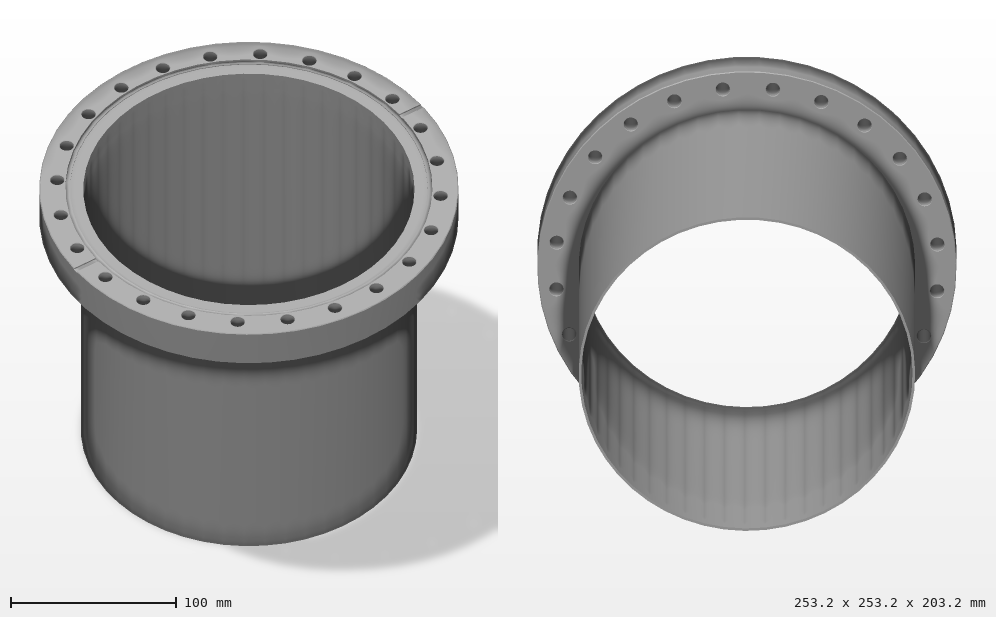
import cadquery as cq
import math

total_height = 203.2

tube_outer_radius = 203.2 / 2
tube_inner_radius = 200.0 / 2

flange_radius = 253.2 / 2
flange_thickness = 25.0
flange_edge_chamfer = 0.5
flange_bottom = total_height - flange_thickness

lip_height = 12.7
tube_length = total_height - lip_height

recess_radius = 110.8
recess_depth = 1.9
knife_radius = 108.0
knife_tip_depth = 0.9
sealing_face_depth = 1.4

bolt_count = 24
bolt_circle_radius = 231.8 / 2
bolt_hole_diameter = 8.4
bolt_hole_chamfer = 0.3

groove_width = 3.2
groove_depth = knife_tip_depth
bolt_pitch_angle = 360 / bolt_count
groove_angles = [90 + bolt_pitch_angle / 2, 270 + bolt_pitch_angle / 2]


def polar_point(radius, angle):
    """Point at a radius and an angle in degrees around the Z axis."""
    return radius * math.cos(math.radians(angle)), radius * math.sin(math.radians(angle)), 0


def make_tube():
    """Plain tube standing on the XY plane."""
    return cq.Workplane("XY").circle(tube_outer_radius).circle(tube_inner_radius).extrude(tube_length)


def make_recess():
    """Cutter for the gasket recess, leaving a knife edge around the sunken sealing face."""
    sealing_face = total_height - sealing_face_depth
    return (
        cq.Workplane("XZ")
        .moveTo(0, sealing_face)
        .lineTo(knife_radius, sealing_face)
        .lineTo(knife_radius, total_height - knife_tip_depth)
        .lineTo(recess_radius, total_height - recess_depth)
        .lineTo(recess_radius, total_height)
        .lineTo(0, total_height)
        .close()
        .revolve(360, (0, 0, 0), (0, 1, 0))
    )


def make_groove(angle):
    """Cutter for one radial slot running from the knife tip out through the flange edge."""
    slot_length = flange_radius - knife_radius
    return (
        cq.Workplane("XY")
        .workplane(offset=total_height - groove_depth)
        .center(knife_radius + slot_length / 2, 0)
        .rect(slot_length, groove_width)
        .extrude(groove_depth)
        .rotate((0, 0, 0), (0, 0, 1), angle)
    )


def make_bolt_hole(angle):
    """Cutter for one through bolt hole, chamfered at both flange faces."""
    hole_radius = bolt_hole_diameter / 2
    mouth_radius = hole_radius + bolt_hole_chamfer
    return (
        cq.Workplane("XZ")
        .moveTo(0, flange_bottom)
        .lineTo(mouth_radius, flange_bottom)
        .lineTo(hole_radius, flange_bottom + bolt_hole_chamfer)
        .lineTo(hole_radius, total_height - bolt_hole_chamfer)
        .lineTo(mouth_radius, total_height)
        .lineTo(0, total_height)
        .close()
        .revolve(360, (0, 0, 0), (0, 1, 0))
        .translate(polar_point(bolt_circle_radius, angle))
    )


def make_flange():
    """Bolted flange with a socket for the tube and a lip above it."""
    flange = (
        cq.Workplane("XY")
        .workplane(offset=flange_bottom)
        .circle(flange_radius)
        .extrude(flange_thickness)
        .edges()
        .chamfer(flange_edge_chamfer)
    )
    socket = cq.Workplane("XY").circle(tube_outer_radius).extrude(tube_length)
    bore = cq.Workplane("XY").circle(tube_inner_radius).extrude(total_height)
    flange = flange.cut(socket).cut(bore).cut(make_recess())
    for i in range(bolt_count):
        flange = flange.cut(make_bolt_hole(i * bolt_pitch_angle))
    for angle in groove_angles:
        flange = flange.cut(make_groove(angle))
    return flange


tube = make_tube()
flange = make_flange()

result = cq.Compound.makeCompound([tube.val(), flange.val()])